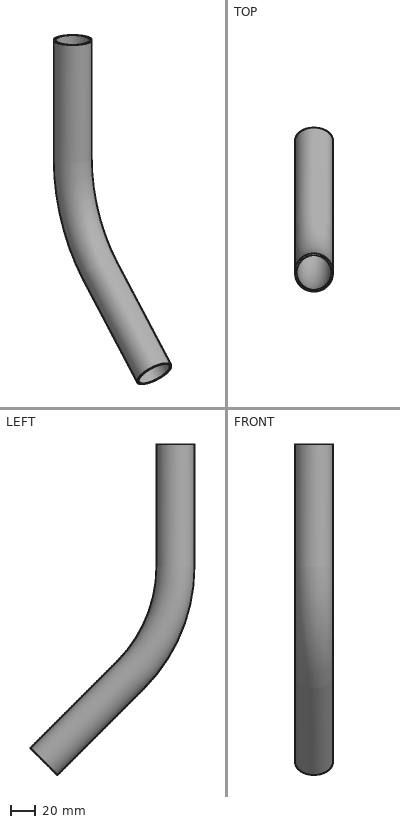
import cadquery as cq
import math

outer_diameter = 31.8
inner_diameter = 28.5
leg_length = 101.5
bend_radius = 127.0
bend_angle = 45.0


def bend_point(angle_degrees):
    """Centreline (Y, Z) at an angle into the bend, which starts at the origin and heads down."""
    angle = math.radians(angle_degrees)
    return bend_radius * (1 - math.cos(angle)), -bend_radius * math.sin(angle)


bend_end_y, bend_end_z = bend_point(bend_angle)
lower_end = (
    bend_end_y + leg_length * math.sin(math.radians(bend_angle)),
    bend_end_z - leg_length * math.cos(math.radians(bend_angle)),
)
centreline = (
    cq.Workplane("YZ")
    .moveTo(0, leg_length)
    .lineTo(0, 0)
    .threePointArc(bend_point(bend_angle / 2), (bend_end_y, bend_end_z))
    .lineTo(*lower_end)
)

result = (
    cq.Workplane("XY", origin=(0, 0, leg_length))
    .circle(outer_diameter / 2)
    .circle(inner_diameter / 2)
    .sweep(centreline)
)